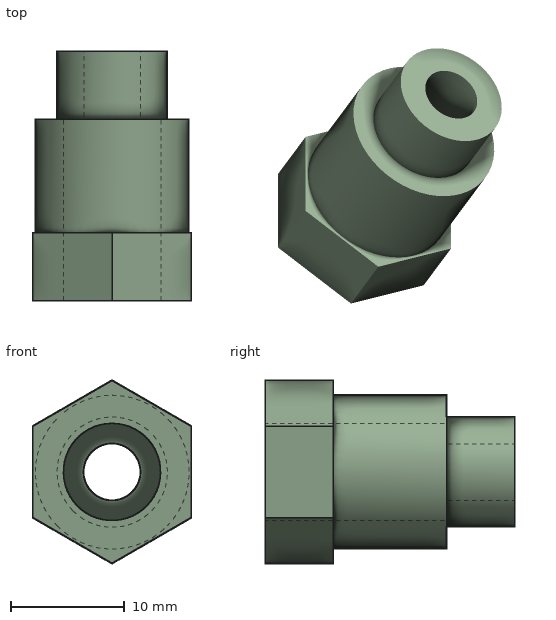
import cadquery as cq
import math

total_length = 22.0
hex_across_flats = 14.0
hex_length = 6.0
body_diameter = 13.55
neck_diameter = 9.72
neck_length = hex_length
bore_diameter = 8.55
through_diameter = 5.0

hex_across_corners = hex_across_flats / math.cos(math.pi / 6)
shoulder_position = total_length - neck_length
bore_depth = shoulder_position


def section_plane(position):
    """Sketch plane across the axis, facing +Y, at a distance from the hex face."""
    return cq.Workplane(cq.Plane(origin=(0, position, 0), xDir=(0, 0, 1), normal=(0, 1, 0)))


def cylinder(diameter, start, end):
    """Solid cylinder on the axis between two positions."""
    return section_plane(start).circle(diameter / 2).extrude(end - start)


head = section_plane(0).polygon(6, hex_across_corners).extrude(hex_length)

body = cylinder(body_diameter, hex_length, shoulder_position)
neck = cylinder(neck_diameter, shoulder_position, total_length)

bore = cylinder(bore_diameter, 0, bore_depth)
passage = cylinder(through_diameter, 0, total_length)

result = head.union(body).union(neck).cut(bore).cut(passage)